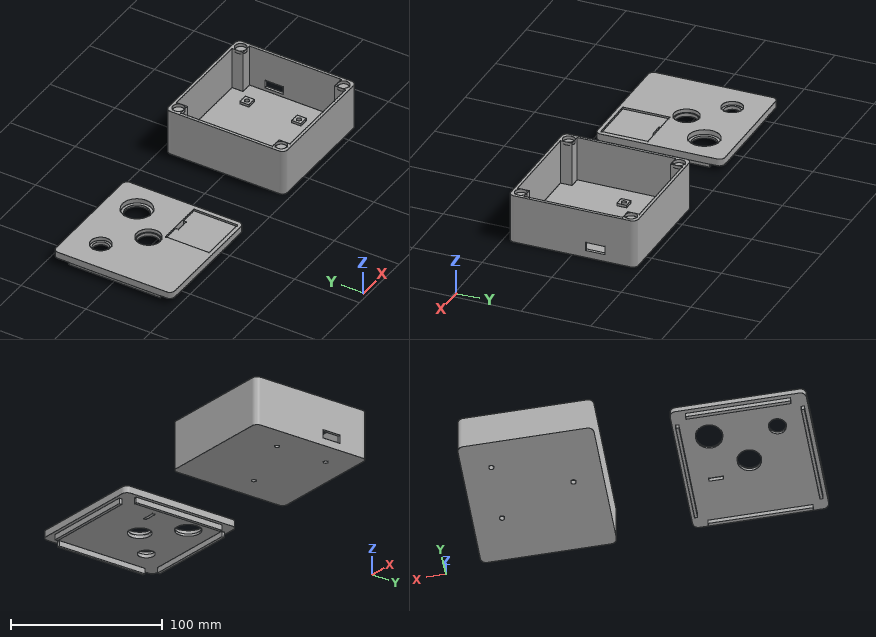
import cadquery as cq
overall_length = 233.0
case_width = 91.0
case_depth = 91.8
corner_radius = 4.0
housing_center_x = overall_length - case_width

housing_height = 35.0
wall = 2.0
floor_thickness = 3.0
cavity_width = case_width - 2 * wall
cavity_depth = case_depth - 2 * wall

post_size = 8.5
recess_diameter = 8.5
recess_depth = 2.3
post_offset_x = (cavity_width - post_size) / 2
post_offset_y = (cavity_depth - post_size) / 2

standoff_size = 7.0
standoff_height = 1.9
standoff_hole_diameter = 3.3
standoff_centers = [(25.9, 26.5), (25.9, -13.5), (-25.5, 6.0)]

window_width = 14.0
window_height = 6.0
window_center_y = 16.5
window_sill = 2.3

strip_height = 4.0
plate_thickness = 5.1
lid_top = strip_height + plate_thickness
strip_thickness = 2.0
strip_clearance = 0.5
strip_length_x = cavity_width - 2 * post_size
strip_length_y = cavity_depth - 2 * post_size
strip_offset_x = (cavity_width - strip_thickness) / 2 - strip_clearance
strip_offset_y = (cavity_depth - strip_thickness) / 2 - strip_clearance

hole_spacing = 22.8
lid_holes = [
    (-hole_spacing, hole_spacing, 11.6, 15.0, 2.5),
    (hole_spacing, hole_spacing, 18.0, 22.1, 3.5),
    (0, 0, 16.0, 18.0, 2.5),
]

pocket_width = 35.9
pocket_length = 33.8
pocket_depth = 1.5
pocket_margin_x = 3.5
pocket_margin_y = 2.8
pocket_center_x = (case_width - pocket_width) / 2 - pocket_margin_x
pocket_center_y = (pocket_length - case_depth) / 2 + pocket_margin_y
slot_length = 9.8
slot_width = 2.0
slot_center_x = pocket_center_x
slot_center_y = pocket_center_y + (pocket_length - slot_width) / 2


def block(size_x, size_y, height, x=0, y=0, z=0):
    """Box centred on (x, y) with its underside at z."""
    return cq.Workplane("XY").box(size_x, size_y, height, centered=(True, True, False)).translate((x, y, z))


def cylinder(diameter, height, x, y, z):
    """Upright cylinder on (x, y) with its underside at z."""
    return cq.Workplane("XY").circle(diameter / 2).extrude(height).translate((x, y, z))


def rounded_slab(height, z=0):
    """Full case footprint with rounded vertical edges."""
    return block(case_width, case_depth, height, z=z).edges("|Z").fillet(corner_radius)


def make_housing():
    """Open-topped box with corner posts, standoffs and a cable window."""
    body = rounded_slab(housing_height)
    cavity_height = housing_height - floor_thickness
    body = body.cut(block(cavity_width, cavity_depth, cavity_height, z=floor_thickness))

    recess_floor = housing_height - recess_depth
    outline = rounded_slab(housing_height)
    for side_x in (-1, 1):
        for side_y in (-1, 1):
            x = side_x * post_offset_x
            y = side_y * post_offset_y
            post = block(post_size, post_size, housing_height, x, y).intersect(outline)
            body = body.union(post)
            body = body.cut(cylinder(recess_diameter, recess_depth, x, y, recess_floor))

    standoff_top = floor_thickness + standoff_height
    for x, y in standoff_centers:
        body = body.union(block(standoff_size, standoff_size, standoff_top, x, y))
        body = body.cut(cylinder(standoff_hole_diameter, standoff_top, x, y, 0))

    wall_center_x = (case_width - wall) / 2
    window_bottom = floor_thickness + window_sill
    window = block(wall, window_width, window_height, wall_center_x, window_center_y, window_bottom)
    return body.cut(window)


def make_lid():
    """Plate with locating strips below, counterbored holes and a pocket."""
    body = rounded_slab(plate_thickness, strip_height)

    for side in (-1, 1):
        body = body.union(block(strip_length_x, strip_thickness, strip_height, y=side * strip_offset_y))
        body = body.union(block(strip_thickness, strip_length_y, strip_height, x=side * strip_offset_x))

    for x, y, hole_diameter, counterbore_diameter, counterbore_depth in lid_holes:
        body = body.cut(cylinder(hole_diameter, plate_thickness, x, y, strip_height))
        counterbore_floor = lid_top - counterbore_depth
        body = body.cut(cylinder(counterbore_diameter, counterbore_depth, x, y, counterbore_floor))

    pocket_floor = lid_top - pocket_depth
    body = body.cut(block(pocket_width, pocket_length, pocket_depth, pocket_center_x, pocket_center_y, pocket_floor))
    return body.cut(block(slot_length, slot_width, plate_thickness, slot_center_x, slot_center_y, strip_height))


lid = make_lid()
housing = make_housing().translate((housing_center_x, 0, 0))

result = cq.Compound.makeCompound([lid.val(), housing.val()])